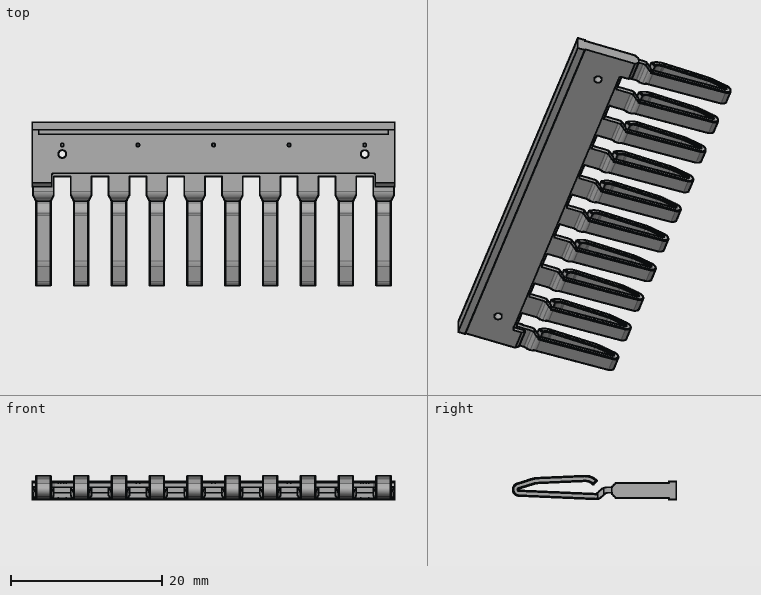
import cadquery as cq
import math


bar_length = 48.0
rear_lip_depth = 1.0
rear_lip_height = 2.4
plate_height = 2.0
plate_bottom = (rear_lip_height - plate_height) / 2
plate_top = plate_bottom + plate_height
front_edge_depth = 6.75
end_block_depth = 8.55
end_block_width = 2.6
end_block_chamfer = 0.55
recess_corner_radius = 0.25

groove_end_margin = 0.85
groove_width = 0.6
groove_depth = 0.5

contact_count = 10
end_contact_margin = 1.5
contact_pitch = (bar_length - 2 * end_contact_margin) / (contact_count - 1)
metal_thickness = 0.75
root_width = 2.8
spring_width = 2.0
spring_edge_chamfer = 0.12
comb_rear_depth = 6.25
comb_front_depth = 7.2
taper_start_depth = 9.65
taper_end_depth = 10.4
metal_mid_height = 1.25

contact_path = [
    (comb_rear_depth, metal_mid_height, 0),
    (9.5, metal_mid_height, 0.9),
    (10.4, 0.4, 0.6),
    (23.55, 0.95, 0.5),
    (18.65, 2.5, 2.4),
    (12.2, 2.8, 4.3),
    (11.4, 2.8, 1.65),
    (10.75, 2.2, 0),
]

dimple_count = 5
contacts_per_dimple = 2
dimple_pitch = contacts_per_dimple * contact_pitch
dimple_diameter = 0.45
dimple_depth = 0.5
dimple_depth_position = 3.0
through_hole_diameter = 1.0
through_hole_depth_position = 4.2
through_hole_span = (dimple_count - 1) * dimple_pitch


def centred_positions(count, pitch):
    """X positions of equally spaced features centred on the bar."""
    return [(i - (count - 1) / 2) * pitch for i in range(count)]


def box(x_start, x_end, rear, front, bottom, top):
    """Block between two X values, two depths and two heights."""
    return (
        cq.Workplane("XY", origin=(0, 0, bottom))
        .moveTo(x_start, -rear)
        .lineTo(x_end, -rear)
        .lineTo(x_end, -front)
        .lineTo(x_start, -front)
        .close()
        .extrude(top - bottom)
    )


def make_bar():
    chamfer_start = end_block_depth - end_block_chamfer
    nose_bottom = plate_bottom + end_block_chamfer
    nose_top = plate_top - end_block_chamfer
    bar = (
        cq.Workplane("YZ")
        .polyline([
            (0, 0),
            (-rear_lip_depth, 0),
            (-rear_lip_depth, plate_bottom),
            (-chamfer_start, plate_bottom),
            (-end_block_depth, nose_bottom),
            (-end_block_depth, nose_top),
            (-chamfer_start, plate_top),
            (-rear_lip_depth, plate_top),
            (-rear_lip_depth, rear_lip_height),
            (0, rear_lip_height),
        ])
        .close()
        .extrude(bar_length / 2, both=True)
    )
    recess_half_length = bar_length / 2 - end_block_width
    recess = box(
        -recess_half_length, recess_half_length,
        front_edge_depth, end_block_depth, 0, rear_lip_height,
    )
    recess = recess.edges("|Z and >Y").fillet(recess_corner_radius)
    groove_half_length = bar_length / 2 - groove_end_margin
    groove = box(
        -groove_half_length, groove_half_length,
        rear_lip_depth, rear_lip_depth + groove_width, plate_top - groove_depth, plate_top,
    )
    return bar.cut(recess).cut(groove)


def strip_side(path, offset):
    """Lines and arcs of a bent strip's face, shifted to the left of its centre line.

    Each piece is one point at a strip end, or the start, middle and end of a bend's arc.
    """
    nodes = [(-depth, height, radius) for depth, height, radius in path]
    pieces = []
    for i, (y, z, radius) in enumerate(nodes):
        before = nodes[max(i - 1, 0)]
        after = nodes[min(i + 1, len(nodes) - 1)]
        angle_in = math.atan2(z - before[1], y - before[0])
        angle_out = math.atan2(after[1] - z, after[0] - y)
        if i == 0 or i == len(nodes) - 1:
            angle = angle_out if i == 0 else angle_in
            pieces.append([(y - offset * math.sin(angle), z + offset * math.cos(angle))])
            continue
        turn = math.remainder(angle_out - angle_in, 2 * math.pi)
        side = math.copysign(1, turn)
        setback = radius * math.tan(abs(turn) / 2)
        centre_y = y - setback * math.cos(angle_in) - side * radius * math.sin(angle_in)
        centre_z = z - setback * math.sin(angle_in) + side * radius * math.cos(angle_in)
        reach = side * radius - offset
        pieces.append([
            (centre_y + reach * math.sin(a), centre_z - reach * math.cos(a))
            for a in (angle_in, angle_in + turn / 2, angle_out)
        ])
    return pieces


def make_strip(width):
    """Bent contact strip of constant width, centred on X = 0."""
    left = strip_side(contact_path, metal_thickness / 2)
    right = strip_side(contact_path, -metal_thickness / 2)
    pieces = left + [piece[::-1] for piece in reversed(right)]
    outline = cq.Workplane("YZ").moveTo(*pieces[0][0])
    for piece in pieces[1:]:
        outline = outline.lineTo(*piece[0])
        if len(piece) > 1:
            outline = outline.threePointArc(*piece[1:])
    return outline.close().extrude(width / 2, both=True)


def make_contact():
    spring = make_strip(spring_width)
    spring = spring.faces("<X or >X").edges().chamfer(spring_edge_chamfer)
    root_plan = (
        cq.Workplane("XY")
        .polyline([
            (-root_width / 2, -comb_rear_depth),
            (-root_width / 2, -taper_start_depth),
            (-spring_width / 2, -taper_end_depth),
            (spring_width / 2, -taper_end_depth),
            (root_width / 2, -taper_start_depth),
            (root_width / 2, -comb_rear_depth),
        ])
        .close()
        .extrude(rear_lip_height)
    )
    root = make_strip(root_width).intersect(root_plan)
    return root.union(spring)


def make_comb_web():
    """Flat metal strip joining all contacts along the front of the bar."""
    half_length = ((contact_count - 1) * contact_pitch + root_width) / 2
    return box(
        -half_length, half_length, comb_rear_depth, comb_front_depth,
        metal_mid_height - metal_thickness / 2, metal_mid_height + metal_thickness / 2,
    )


def round_holes(x_positions, depth_position, diameter, depth):
    """Cylinders sunk into the plate from its top face."""
    return (
        cq.Workplane("XY", origin=(0, 0, plate_top - depth))
        .pushPoints([(x, -depth_position) for x in x_positions])
        .circle(diameter / 2)
        .extrude(depth)
    )


result = make_bar().union(make_comb_web())
contact = make_contact()
for x in centred_positions(contact_count, contact_pitch):
    result = result.union(contact.translate((x, 0, 0)))

through_holes = round_holes(
    centred_positions(2, through_hole_span),
    through_hole_depth_position, through_hole_diameter, plate_top,
)
dimples = round_holes(
    centred_positions(dimple_count, dimple_pitch),
    dimple_depth_position, dimple_diameter, dimple_depth,
)
result = result.cut(through_holes).cut(dimples)